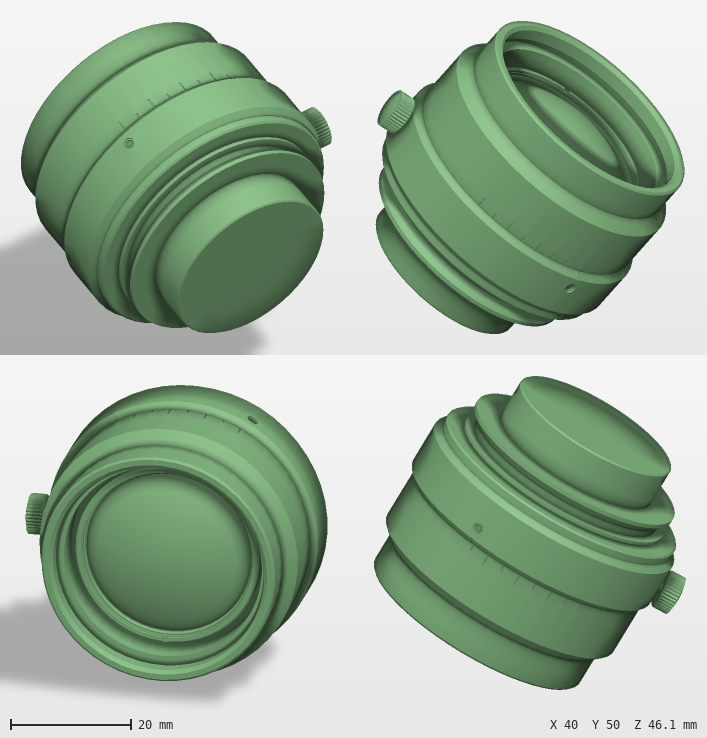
import cadquery as cq
import math


length = 40.0
overall_span = 50.0
rim_dia = 39.8
rim_chamfer = 0.35
rim_end = 6.05
scale_dia = 44.0
scale_start = 8.05
scale_end = 17.3
ring_dia = 46.05
ring_bevel = (ring_dia - scale_dia) / 2
ring_start = 17.45
ring_end = 26.95
seam_depth = 0.1
collar_start = 27.05
collar_end = 28.6
collar_chamfer = 0.3
flange_dia = 38.0
flange_lip_dia = 37.4
flange_lip_end = 28.95
flange_end = 29.55
neck_dia = 35.0
neck_end = 30.9
dovetail_top = neck_end + (flange_dia - neck_dia) / 2
dovetail_end = 33.1
rear_dia = 29.0
rear_chamfer = 0.25

mouth_dia = 37.2
bore_dia = 36.0
bore_end = 2.7
undercut_dia = 37.2
undercut_end = 3.95
sleeve_dia = 33.7
sleeve_end = 9.75
gap_dia = 31.6
gap_depth = 0.25
retainer_dia = 31.3
retainer_front = 6.8
retainer_chamfer = 0.3
retainer_bore_dia = 29.4
retainer_step = 7.25
seat_dia = 29.0
seat_end = 7.7
seat_cone_dia = 28.5
seat_cone_end = 8.05
lens_dia = 28.1
lens_edge = 8.65
lens_apex = 4.1
key_slot_width = 0.95
key_slot_angle = 1.2

screw_x = 20.5
knob_dia = 6.85
knob_height = 2.95
knob_chamfer = 0.35
knob_dome_height = 0.55
knob_top = overall_span - ring_dia / 2 - knob_dome_height
knob_dome_dia = 6.1
knob_tooth_count = 36
knob_tooth_depth = 0.2
stem_dia = 2.05
screw_spacing_angle = 120.0
screw_hole_dia = 2.0
screw_hole_depth = 0.3
socket_dia = 1.5
socket_depth = 0.6

tick_count = 8
tick_first_angle = 28.5
tick_step_angle = 8.0
tick_short = 1.0
tick_long = 1.95
mark_width = 0.35
mark_depth = 0.15
index_angle = 30.0


def make_body():
    """Solid of revolution: stepped outer barrel with the front cavity and the domed lens."""
    scale_r = scale_dia / 2
    seam_r = scale_r - seam_depth
    flange_r = flange_dia / 2
    retainer_r = retainer_dia / 2
    dome_r = ((lens_dia / 2) ** 2 + (lens_edge - lens_apex) ** 2) / (2 * (lens_edge - lens_apex))
    half_angle = math.asin(lens_dia / 2 / dome_r) / 2
    dome_mid = (lens_apex + dome_r * (1 - math.cos(half_angle)), dome_r * math.sin(half_angle))
    outer = [
        (0, rim_dia / 2 - rim_chamfer),
        (rim_chamfer, rim_dia / 2),
        (rim_end, rim_dia / 2),
        (scale_start, scale_r),
        (scale_end, scale_r),
        (scale_end, seam_r),
        (ring_start, seam_r),
        (ring_start, scale_r),
        (ring_start + ring_bevel, ring_dia / 2),
        (ring_end - ring_bevel, ring_dia / 2),
        (ring_end, scale_r),
        (ring_end, seam_r),
        (collar_start, seam_r),
        (collar_start, scale_r),
        (collar_end - collar_chamfer, scale_r),
        (collar_end, scale_r - collar_chamfer),
        (collar_end, flange_lip_dia / 2),
        (flange_lip_end, flange_lip_dia / 2),
        (flange_lip_end, flange_r),
        (flange_end, flange_r),
        (flange_end, neck_dia / 2),
        (neck_end, neck_dia / 2),
        (dovetail_top, flange_r),
        (dovetail_end, flange_r),
        (dovetail_end, rear_dia / 2),
        (length - rear_chamfer, rear_dia / 2),
        (length, rear_dia / 2 - rear_chamfer),
        (length, 0),
        (lens_apex, 0),
    ]
    cavity = [
        (seat_cone_end, lens_dia / 2),
        (seat_end, seat_cone_dia / 2),
        (seat_end, seat_dia / 2),
        (retainer_step, seat_dia / 2),
        (retainer_step, retainer_bore_dia / 2),
        (retainer_front, retainer_bore_dia / 2),
        (retainer_front, retainer_r - retainer_chamfer),
        (retainer_front + retainer_chamfer, retainer_r),
        (sleeve_end + gap_depth, retainer_r),
        (sleeve_end + gap_depth, gap_dia / 2),
        (sleeve_end, gap_dia / 2),
        (sleeve_end, sleeve_dia / 2),
        (undercut_end, sleeve_dia / 2),
        (undercut_end, undercut_dia / 2),
        (bore_end, undercut_dia / 2),
        (bore_end, bore_dia / 2),
        ((mouth_dia - bore_dia) / 2, bore_dia / 2),
        (0, mouth_dia / 2),
    ]
    profile = cq.Workplane("XY").polyline(outer)
    profile = profile.threePointArc(dome_mid, (lens_edge, lens_dia / 2))
    for point in cavity:
        profile = profile.lineTo(*point)
    return profile.close().revolve(360, (0, 0, 0), (1, 0, 0))


def make_key_slots():
    """Two spanner slots across the front face of the retaining ring."""
    depth = retainer_step - retainer_front
    slots = cq.Workplane("XY").box(depth, key_slot_width, retainer_dia, centered=(False, True, True))
    core = cq.Workplane("YZ").circle(retainer_bore_dia / 2).extrude(depth)
    slots = slots.cut(core).translate((retainer_front, 0, 0))
    return slots.rotate((0, 0, 0), (1, 0, 0), key_slot_angle)


def make_knob():
    """Knurled thumb screw pointing along +Y."""
    knob_base = knob_top - knob_height
    r = knob_dia / 2
    dome_r = knob_dome_dia / 2
    dome_tip = knob_top + knob_dome_height
    ball_r = (dome_r ** 2 + knob_dome_height ** 2) / (2 * knob_dome_height)
    half_angle = math.asin(dome_r / ball_r) / 2
    dome_mid = (ball_r * math.sin(half_angle), dome_tip - ball_r * (1 - math.cos(half_angle)))
    head = (
        cq.Workplane("XY")
        .moveTo(0, knob_base)
        .lineTo(r - knob_chamfer, knob_base)
        .lineTo(r, knob_base + knob_chamfer)
        .lineTo(r, knob_top)
        .lineTo(dome_r, knob_top)
        .threePointArc(dome_mid, (0, dome_tip))
        .close()
        .revolve(360, (0, 0, 0), (0, 1, 0))
    )
    teeth = []
    for i in range(2 * knob_tooth_count):
        angle = math.pi * i / knob_tooth_count
        tooth_r = r - knob_tooth_depth * (i % 2)
        teeth.append((tooth_r * math.cos(angle), tooth_r * math.sin(angle)))
    knurl = cq.Workplane("XZ", origin=(0, knob_base, 0)).polyline(teeth).close()
    knurl = knurl.extrude(-knob_height - knob_dome_height)
    stem_root = scale_dia / 2
    stem = cq.Workplane("XZ", origin=(0, stem_root, 0)).circle(stem_dia / 2).extrude(stem_root - knob_base)
    return head.intersect(knurl).union(stem).translate((screw_x, 0, 0))


def make_screw_hole(angle):
    """Stepped set-screw recess; the angle turns about X from +Y towards +Z."""
    ring_surface = cq.Workplane("XZ", origin=(0, ring_dia / 2, 0))
    hole = ring_surface.circle(screw_hole_dia / 2).extrude(screw_hole_depth)
    socket = ring_surface.circle(socket_dia / 2).extrude(socket_depth)
    return hole.union(socket).translate((screw_x, 0, 0)).rotate((0, 0, 0), (1, 0, 0), angle)


def make_mark(start, end, angle):
    """Engraved scale line; the angle turns about X from +Z towards +Y."""
    mark = cq.Workplane("XY").box(end - start, mark_width, 2 * mark_depth, centered=(False, True, True))
    return mark.translate((start, 0, scale_dia / 2)).rotate((0, 0, 0), (1, 0, 0), -angle)


def make_index(angle):
    """Engraved line running down the front bevel of the aperture ring."""
    index = (
        cq.Workplane("XZ", origin=(0, mark_width / 2, 0))
        .polyline([
            (ring_start, scale_dia / 2 - mark_depth),
            (ring_start + ring_bevel + mark_depth, ring_dia / 2),
            (ring_start, ring_dia / 2),
        ])
        .close()
        .extrude(mark_width)
    )
    return index.rotate((0, 0, 0), (1, 0, 0), -angle)


result = make_body().cut(make_key_slots())
for screw in (1, 2):
    result = result.cut(make_screw_hole(screw * screw_spacing_angle))
for side in (0, 180):
    result = result.cut(make_index(side + index_angle))
    for i in range(tick_count):
        tick_length = tick_short if i % 2 == 0 else tick_long
        tick_angle = side + tick_first_angle - i * tick_step_angle
        result = result.cut(make_mark(scale_end - tick_length, scale_end, tick_angle))
result = result.union(make_knob())